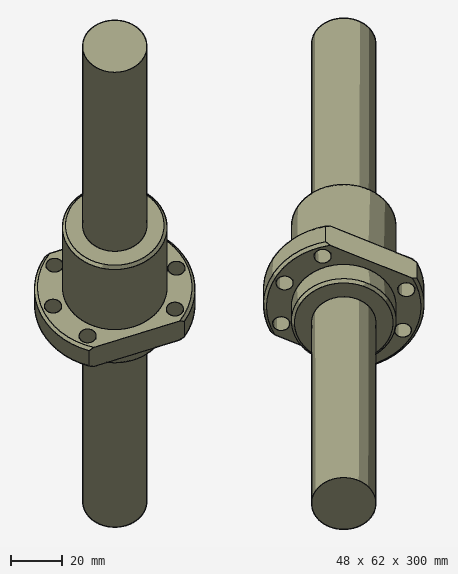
import cadquery as cq

SHAFT_LENGTH = 300.0
SHAFT_DIAMETER = 25.0

BARREL_DIAMETER = 40.5
BARREL_LENGTH = 64.0
BARREL_CHAMFER = 1.2

FLANGE_DIAMETER = 62.0
FLANGE_THICKNESS = 12.5
FLANGE_WIDTH = 48.0
FLANGE_CHAMFER = 1.2
FLANGE_OFFSET = 10.5

HOLE_DIAMETER = 6.5
HOLE_CIRCLE_DIAMETER = 51.0
HOLE_SPACING_ANGLE = 45
HOLES_PER_SIDE = 3
SIDE_ANGLES = (90, 270)

BARREL_BOTTOM = -BARREL_LENGTH / 2
FLANGE_BOTTOM = BARREL_BOTTOM + FLANGE_OFFSET


def cylinder(diameter, length, bottom):
    """Upright cylinder on the Z axis, starting at height bottom."""
    return cq.Workplane("XY").workplane(offset=bottom).circle(diameter / 2).extrude(length)


def make_shaft():
    return cylinder(SHAFT_DIAMETER, SHAFT_LENGTH, -SHAFT_LENGTH / 2)


def make_barrel():
    barrel = cylinder(BARREL_DIAMETER, BARREL_LENGTH, BARREL_BOTTOM)
    return barrel.faces("<Z or >Z").edges().chamfer(BARREL_CHAMFER)


def make_flange():
    disc = cylinder(FLANGE_DIAMETER, FLANGE_THICKNESS, FLANGE_BOTTOM)
    disc = disc.faces("<Z or >Z").edges().chamfer(FLANGE_CHAMFER)
    trim = (
        cq.Workplane("XY")
        .workplane(offset=FLANGE_BOTTOM)
        .rect(FLANGE_WIDTH, FLANGE_DIAMETER)
        .extrude(FLANGE_THICKNESS)
    )
    return disc.intersect(trim)


def make_mounting_holes():
    """Cutting cylinders for both groups of flange holes."""
    group_span = HOLE_SPACING_ANGLE * (HOLES_PER_SIDE - 1)
    holes = cq.Workplane("XY").workplane(offset=FLANGE_BOTTOM)
    for side_angle in SIDE_ANGLES:
        holes = holes.polarArray(
            HOLE_CIRCLE_DIAMETER / 2, side_angle - group_span / 2, group_span, HOLES_PER_SIDE
        ).circle(HOLE_DIAMETER / 2)
    return holes.extrude(FLANGE_THICKNESS)


def make_nut():
    nut = make_barrel().union(make_flange())
    bore = cylinder(SHAFT_DIAMETER, BARREL_LENGTH, BARREL_BOTTOM)
    return nut.cut(make_mounting_holes()).cut(bore)


shaft = make_shaft()
nut = make_nut()

result = cq.Compound.makeCompound([shaft.val(), nut.val()])